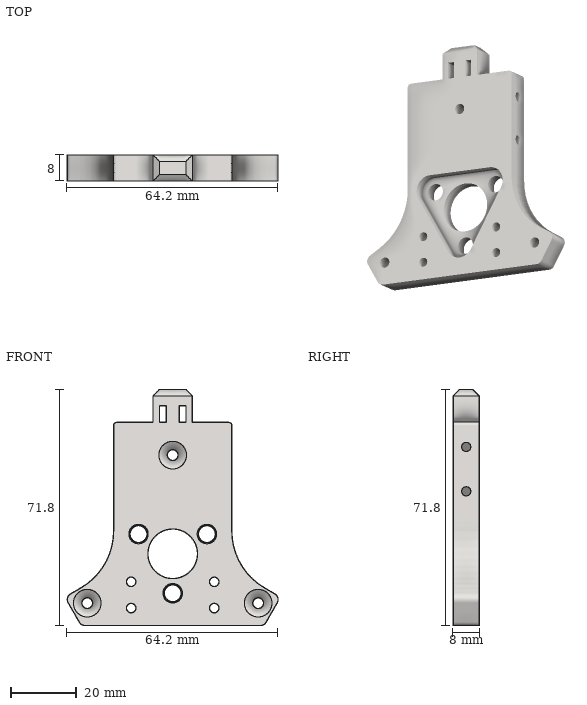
import cadquery as cq
import math

thickness = 8.0
bore_diameter = 15.0

body_width = 36.0
body_top = 40.0
body_corner_radius = 1.0

screw_circle_radius = 30.0
foot_angle = math.radians(30)
foot_margin = 5.0
foot_corner_radius = 2.0
flare_radius = 20.0

screw_diameter = 3.2
screw_head_diameter = 8.4
screw_head_angle = math.radians(90)
screw_directions = (90, 210, 330)

flared_circle_radius = 12.0
flared_hole_diameter = 5.1
flared_hole_mouth_diameter = 5.9
flared_hole_mouth_depth = 1.25
flared_hole_directions = (30, 150, 270)

pocket_corner_radius = 4.5
pocket_depth = 3.7

small_hole_diameter = 2.8
small_hole_spacing_x = 25.25
small_hole_spacing_z = 8.0
small_hole_center_z = -12.5

side_hole_diameter = 2.8
side_hole_depth = 10.0
side_hole_heights = (19.0, 32.5)

tab_width = 12.0
tab_height = 10.0
tab_chamfer = 2.0
slot_width = 2.0
slot_height = 5.0
slot_center_x = 3.0


def polar(radius, angle):
    """Point in the XZ plane at a given angle from +X."""
    return (radius * math.cos(angle), radius * math.sin(angle))


def front_sketch(points):
    """Workplane on the front face with the given XZ points selected.

    The plane normal is -Y, so a negative extrusion goes into the plate.
    """
    return cq.Workplane("XZ").pushPoints(points)


def through_holes(points, diameter):
    return front_sketch(points).circle(diameter / 2).extrude(-thickness)


def round_corners(solid, corner, radius):
    """Round the plate edge at an XZ corner and its mirror image across X = 0."""
    x, z = corner
    for side in (-1, 1):
        selector = cq.selectors.NearestToPointSelector((side * x, thickness / 2, z))
        solid = solid.edges("|Y").edges(selector).fillet(radius)
    return solid


def plate():
    half_width = body_width / 2
    end_x, end_z = polar(screw_circle_radius + foot_margin, -foot_angle)
    across_x = foot_margin * math.sin(foot_angle)
    across_z = foot_margin * math.cos(foot_angle)
    tip = (end_x + across_x, end_z + across_z)
    heel = (end_x - across_x, end_z - across_z)
    root = (half_width, tip[1] + (tip[0] - half_width) * math.tan(foot_angle))

    right_side = [heel, tip, root, (half_width, body_top)]
    left_side = [(-x, z) for x, z in reversed(right_side)]
    solid = cq.Workplane("XZ").polyline(right_side + left_side).close().extrude(-thickness)

    solid = round_corners(solid, root, flare_radius)
    solid = round_corners(solid, tip, foot_corner_radius)
    solid = round_corners(solid, heel, foot_corner_radius)
    return round_corners(solid, (half_width, body_top), body_corner_radius)


def tab():
    block = (
        cq.Workplane("XY", origin=(0, thickness / 2, body_top))
        .rect(tab_width, thickness)
        .extrude(tab_height)
        .faces(">Z")
        .chamfer(tab_chamfer)
    )
    slot_center_z = body_top + slot_height / 2
    slot_centers = [(-slot_center_x, slot_center_z), (slot_center_x, slot_center_z)]
    slots = front_sketch(slot_centers).rect(slot_width, slot_height).extrude(-thickness)
    return block.cut(slots)


def add_cones(cutters, centers, mouth_diameter, inner_diameter, depth):
    """Join to the cutters a cone at each center that narrows from the front face inward."""
    for x, z in centers:
        cone = cq.Solid.makeCone(
            mouth_diameter / 2,
            inner_diameter / 2,
            depth,
            pnt=cq.Vector(x, 0, z),
            dir=cq.Vector(0, 1, 0),
        )
        cutters = cutters.union(cq.Workplane(cone))
    return cutters


def countersunk_screws():
    centers = [polar(screw_circle_radius, math.radians(a)) for a in screw_directions]
    head_depth = (screw_head_diameter - screw_diameter) / 2 / math.tan(screw_head_angle / 2)
    cutters = through_holes(centers, screw_diameter)
    return add_cones(cutters, centers, screw_head_diameter, screw_diameter, head_depth)


def flared_hole_centers():
    return [polar(flared_circle_radius, math.radians(a)) for a in flared_hole_directions]


def flared_holes():
    centers = flared_hole_centers()
    cutters = through_holes(centers, flared_hole_diameter)
    return add_cones(
        cutters,
        centers,
        flared_hole_mouth_diameter,
        flared_hole_diameter,
        flared_hole_mouth_depth,
    )


def back_pocket():
    return (
        cq.Workplane("XZ", origin=(0, thickness, 0))
        .polyline(flared_hole_centers())
        .close()
        .offset2D(pocket_corner_radius, "arc")
        .extrude(pocket_depth)
    )


def small_holes():
    centers = [
        (side_x * small_hole_spacing_x / 2, small_hole_center_z + side_z * small_hole_spacing_z / 2)
        for side_x in (-1, 1)
        for side_z in (-1, 1)
    ]
    return through_holes(centers, small_hole_diameter)


def side_holes():
    centers = [(thickness / 2, z) for z in side_hole_heights]
    left = (
        cq.Workplane("YZ", origin=(-body_width / 2, 0, 0))
        .pushPoints(centers)
        .circle(side_hole_diameter / 2)
        .extrude(side_hole_depth)
    )
    return left.union(left.mirror("YZ"))


result = (
    plate()
    .union(tab())
    .cut(through_holes([(0, 0)], bore_diameter))
    .cut(countersunk_screws())
    .cut(flared_holes())
    .cut(back_pocket())
    .cut(small_holes())
    .cut(side_holes())
)